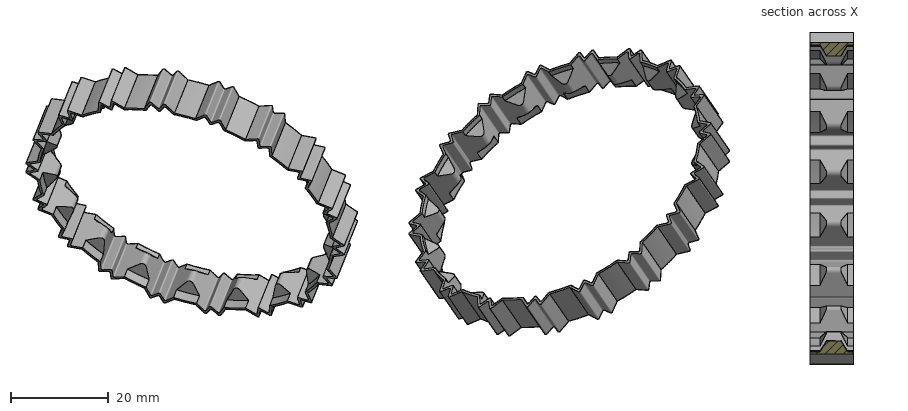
import cadquery as cq
import math

tooth_count = 18
ring_width = 9.0
wall = 0.53
floor_radius = 31.9
corner_round = 0.27

valley_radius = 32.35
valley_half_angle = math.radians(36)

tooth_apex_radius = 28.65
flank_slope = math.radians(47)
crest_round = 1.0
front_inset = 2.05
back_inset = 1.2
end_run = 1.5
end_rise = 2.5

half_pitch = math.pi / tooth_count
inner_floor_radius = floor_radius - wall
inner_valley_radius = valley_radius - wall / math.sin(valley_half_angle)
outer_apex_radius = tooth_apex_radius + wall / math.cos(flank_slope)
front_face = -ring_width / 2
back_face = ring_width / 2
on_circle_tolerance = 0.01


def turn(point, angle):
    """Rotate an (X, Z) point about the ring axis, from +Z towards +X."""
    x, z = point
    return (
        x * math.cos(angle) + z * math.sin(angle),
        z * math.cos(angle) - x * math.sin(angle),
    )


def mirror(point):
    return (-point[0], point[1])


def floor_corner(apex_radius, radius):
    """Point where the flank rising from the apex meets a circle about the ring axis."""
    from_vertical = math.pi / 2 - flank_slope
    reach = math.sqrt(radius**2 - (apex_radius * math.sin(from_vertical)) ** 2)
    reach -= apex_radius * math.cos(from_vertical)
    return (reach * math.cos(flank_slope), apex_radius + reach * math.sin(flank_slope))


def peak_corner(apex_radius, valley):
    """Point where the flank rising from the apex meets the side rising from the valley."""
    side_angle = half_pitch - valley_half_angle
    flank_rise = math.tan(flank_slope)
    height_gap = apex_radius + valley[0] * flank_rise - valley[1]
    reach = height_gap / (math.cos(side_angle) - math.sin(side_angle) * flank_rise)
    return (valley[0] + reach * math.sin(side_angle), valley[1] + reach * math.cos(side_angle))


def zigzag_prism(apex_radius, bottom_radius, floor):
    """Solid disc bounded by one surface of the ring, with its peaks and valleys rounded."""
    valley = turn((0, bottom_radius), half_pitch)
    peak = peak_corner(apex_radius, valley)
    corner = floor_corner(apex_radius, floor)
    outline = cq.Workplane("XZ", origin=(0, back_face, 0)).moveTo(*mirror(valley))
    for i in range(tooth_count):
        angle = 2 * half_pitch * i
        outline = (
            outline.lineTo(*turn(mirror(peak), angle))
            .lineTo(*turn(mirror(corner), angle))
            .threePointArc(turn((0, floor), angle), turn(corner, angle))
            .lineTo(*turn(peak, angle))
        )
        if i < tooth_count - 1:
            outline = outline.lineTo(*turn(valley, angle))
    disc = outline.close().extrude(ring_width)

    def is_zigzag_corner(edge):
        """Peaks and valleys stand off the floor circle; the floor corners lie on it."""
        middle = edge.Center()
        return abs(math.hypot(middle.x, middle.z) - floor) > on_circle_tolerance

    corners = [edge for edge in disc.edges("|Y").vals() if is_zigzag_corner(edge)]
    return disc.newObject(corners).fillet(corner_round)


def inner_tooth():
    """Tooth at the top of the ring, standing on the inner floor and pointing at the axis."""
    root = floor_corner(tooth_apex_radius, inner_floor_radius)
    wedge = (
        cq.Workplane("XZ", origin=(0, back_face, 0))
        .moveTo(0, tooth_apex_radius)
        .lineTo(*root)
        .threePointArc((0, inner_floor_radius), mirror(root))
        .close()
        .extrude(ring_width)
        .edges("<Z")
        .fillet(crest_round)
    )
    tip_radius = inner_floor_radius - end_rise
    front_root = front_face + front_inset
    back_root = back_face - back_inset
    band = (
        cq.Workplane("YZ")
        .moveTo(front_root, floor_radius)
        .lineTo(front_root, inner_floor_radius)
        .lineTo(front_root + end_run, tip_radius)
        .lineTo(back_root - end_run, tip_radius)
        .lineTo(back_root, inner_floor_radius)
        .lineTo(back_root, floor_radius)
        .close()
        .revolve(360, (0, 0), (1, 0))
    )
    return wedge.intersect(band)


outer = zigzag_prism(outer_apex_radius, valley_radius, floor_radius)
inner = zigzag_prism(tooth_apex_radius, inner_valley_radius, inner_floor_radius)
result = outer.cut(inner)

tooth = inner_tooth()
for i in range(tooth_count):
    result = result.union(tooth.rotate((0, 0, 0), (0, 1, 0), math.degrees(2 * half_pitch * i)))